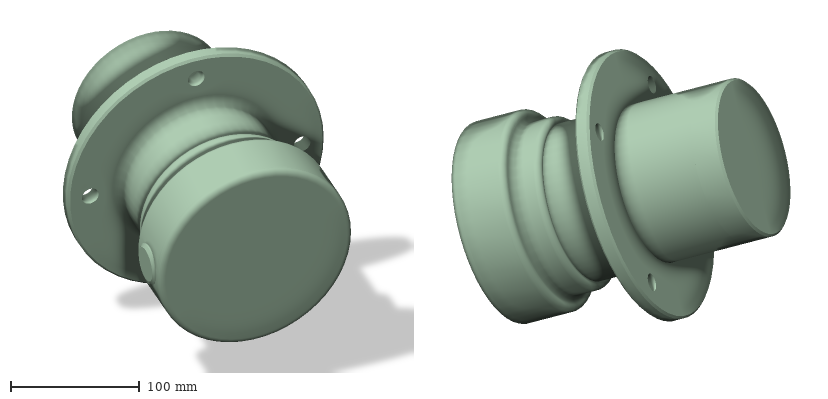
import cadquery as cq

total_length = 224.8

barrel_diameter = 127.0
cap_length = 22.7
cap_chamfer = 1.8

flange_diameter = 215.8
flange_start = 89.5
flange_thickness = 12.4
flange_end = flange_start + flange_thickness
flange_chamfer = 1.8
flange_fillet = 6.7
bolt_hole_diameter = 14.2
bolt_hole_count = 4
bolt_circle_radius = 89.0

shoulder_diameter = 139.5
shoulder_start = 152.2
head_diameter = 162.5
head_start = 177.2
collar_round = 5.0
step_fillet = 4.7

cover_thickness = 6.5
cover_start = total_length - cover_thickness

button_x = 199.9
button_top = 83.0
button_depth = 11.2
button_bottom = button_top - button_depth
bezel_diameter = 33.0
bezel_face_diameter = 27.7
bezel_chamfer_depth = 2.0
disc_diameter = 24.7


def cylinder_x(diameter, start, end):
    """Solid cylinder along +X between two X positions."""
    return cq.Workplane("YZ").workplane(offset=start).circle(diameter / 2).extrude(end - start)


def cylinder_y(diameter):
    """Solid cylinder at the button position, its outer face at Y = -button_top."""
    base = cq.Workplane("XZ", origin=(button_x, 0, 0)).workplane(offset=button_bottom)
    return base.circle(diameter / 2).extrude(button_depth)


def step_edge(x, diameter):
    """Selector for the circular edge of the given diameter around the X axis at x."""
    margin = 0.2
    reach = diameter / 2 + margin
    return cq.selectors.BoxSelector(
        (x - margin, -reach, -reach), (x + margin, reach, reach), boundingbox=True
    )


def make_cap():
    return cylinder_x(barrel_diameter, 0, cap_length).faces("<X").chamfer(cap_chamfer)


def make_flange():
    flange = cylinder_x(flange_diameter, flange_start, flange_end).edges().chamfer(flange_chamfer)
    holes = (
        cq.Workplane("YZ")
        .workplane(offset=flange_start)
        .polarArray(bolt_circle_radius, 0, 360, bolt_hole_count)
        .circle(bolt_hole_diameter / 2)
        .extrude(flange_thickness)
    )
    return flange.cut(holes)


def make_barrel():
    """Barrel and flange in one piece, filleted where the rear flange face meets the barrel."""
    barrel = cylinder_x(barrel_diameter, cap_length, shoulder_start).union(make_flange())
    return barrel.edges(step_edge(flange_end, barrel_diameter)).fillet(flange_fillet)


def make_collar():
    shoulder = cylinder_x(shoulder_diameter, shoulder_start, cover_start)
    shoulder = shoulder.faces("<X").edges().fillet(collar_round)
    head = cylinder_x(head_diameter, head_start, cover_start)
    head = head.faces("<X").edges().fillet(collar_round)
    collar = shoulder.union(head)
    collar = collar.edges(step_edge(head_start, shoulder_diameter)).fillet(step_fillet)
    return collar.cut(cylinder_y(bezel_diameter))


def make_cover():
    return cylinder_x(head_diameter, cover_start, total_length).faces(">X").edges().fillet(collar_round)


def make_bezel():
    """Ring turned about the button axis, its rim tapering down to the head."""
    inner = disc_diameter / 2
    outer = bezel_diameter / 2
    section = [
        (inner, button_bottom),
        (outer, button_bottom),
        (outer, button_top - bezel_chamfer_depth),
        (bezel_face_diameter / 2, button_top),
        (inner, button_top),
    ]
    points = [(radius, -distance) for radius, distance in section]
    profile = cq.Workplane("XY", origin=(button_x, 0, 0)).polyline(points).close()
    return profile.revolve(360, (0, 0, 0), (0, 1, 0))


def make_disc():
    return cylinder_y(disc_diameter)


cap = make_cap()
barrel = make_barrel()
collar = make_collar()
cover = make_cover()
bezel = make_bezel()
disc = make_disc()

result = cq.Compound.makeCompound([
    cap.val(),
    barrel.val(),
    collar.val(),
    cover.val(),
    bezel.val(),
    disc.val(),
])